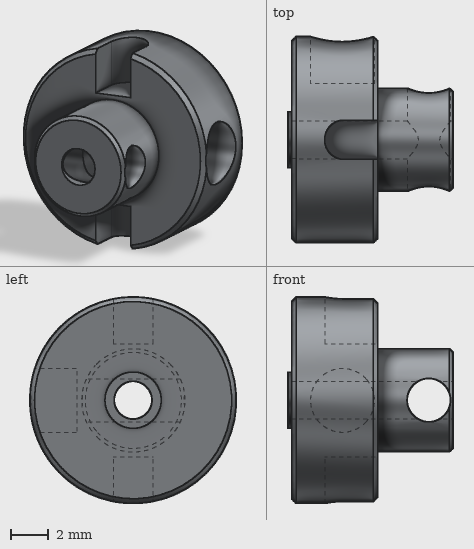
import cadquery as cq

disk_diameter = 11.0
disk_width = 4.6
disk_chamfer = 0.25
hub_diameter = 5.5
hub_length = 4.0
hub_chamfer = 0.19
boss_diameter = 3.0
boss_height = 0.19
bore_diameter = 2.0

cross_hole_diameter = 2.3
cross_hole_from_end = 1.29

slot_end_x = 1.76
slot_width = 2.1
slot_depth = 2.5
pocket_center_x = 2.7
pocket_diameter = 3.4
pocket_depth = 2.5

disk_radius = disk_diameter / 2
slot_round_center_x = slot_end_x + slot_width / 2
body_end_x = disk_width + hub_length


def cylinder_along_x(diameter, start_x, end_x):
    return cq.Workplane("YZ", origin=(start_x, 0, 0)).circle(diameter / 2).extrude(end_x - start_x)


def make_body():
    disk = cylinder_along_x(disk_diameter, 0, disk_width).edges().chamfer(disk_chamfer)
    hub = cylinder_along_x(hub_diameter, 0, body_end_x).faces(">X").edges().chamfer(hub_chamfer)
    boss = cylinder_along_x(boss_diameter, -boss_height, disk_width)
    return disk.union(hub).union(boss)


def make_bore():
    return cylinder_along_x(bore_diameter, -boss_height, body_end_x)


def make_cross_hole():
    center_x = body_end_x - cross_hole_from_end
    outline = cq.Workplane("XZ", origin=(center_x, 0, 0)).circle(cross_hole_diameter / 2)
    return outline.extrude(hub_diameter, both=True)


def make_rim_slot():
    """Slot in the +Z rim: round inner end, open towards the hub."""
    floor = cq.Workplane("XY", origin=(slot_round_center_x, 0, disk_radius - slot_depth))
    round_end = floor.circle(slot_width / 2).extrude(slot_depth)
    open_length = disk_width - slot_round_center_x
    straight = floor.rect(open_length, slot_width).extrude(slot_depth).translate((open_length / 2, 0, 0))
    return round_end.union(straight)


def make_rim_pocket():
    """Blind round pocket in the +Y rim."""
    mouth = cq.Workplane("XZ", origin=(pocket_center_x, disk_radius, 0))
    return mouth.circle(pocket_diameter / 2).extrude(pocket_depth)


result = make_body().cut(make_bore()).cut(make_cross_hole()).cut(make_rim_pocket())
for slot_angle in (0, 180):
    result = result.cut(make_rim_slot().rotate((0, 0, 0), (1, 0, 0), slot_angle))